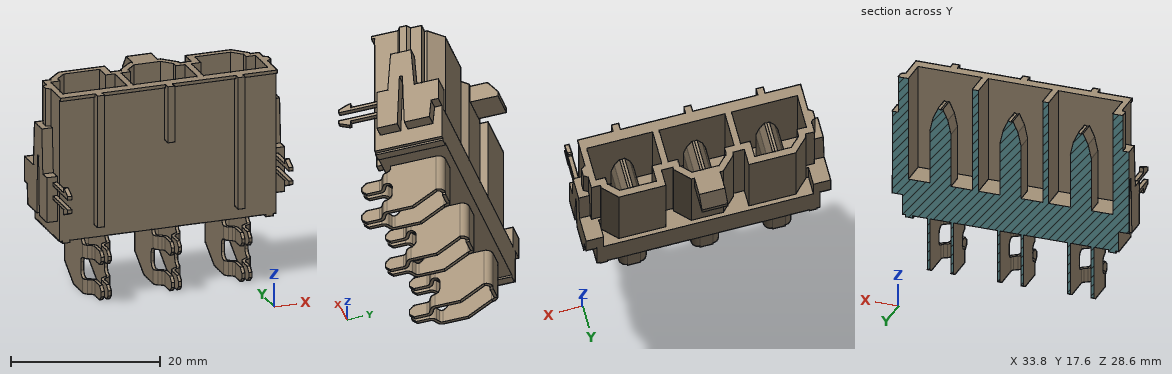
import cadquery as cq
import math


pitch = 10.0
row = (-pitch, 0.0, pitch)

housing_half_x = 15.42
housing_bottom = -20.63
shelf_top = -15.13
base_back = 9.45
shroud_back = 8.87
step_y = 6.6
bevel_start_y = 6.95
wall = 0.92
end_hump_outer = 14.16
end_hump_inner = 5.73
middle_hump_half = 4.14
lip_depth = 0.47
lip_height = 0.46

partition = 0.9
cell_half_x = (pitch - partition) / 2
cell_front = 1.0
cell_step_y = step_y - wall
cell_back = shroud_back - wall
cell_hump_half = middle_hump_half - wall

rib_width = 1.0
rib_front = -1.38
side_rib_length = 18.8
middle_rib_length = 8.0
foot_inner, foot_outer = 13.94, 15.0
foot_height = 0.32
latch_width = 3.55
latch_height = 2.83
latch_tip_y = 12.77
latch_bevel_y = 1.48
latch_bevel_z = 2.03
rail_depth = 0.6
rail_back, rail_front = 5.05, 3.3
rail_bevel = 0.38

mount_outer_x = 16.91
mount_inner_x = 14.5
mount_front = 0.8
mount_shoulder = -11.61
mount_bottom = -18.0
pillar_top = -5.33
pillar_back_bottom, pillar_back_top = 6.04, 5.6
pillar_front_bottom, pillar_front_top = 2.33, 2.73
heel_y_top, heel_y_bottom = 8.43, 8.2
slot_top = -9.66
slot_center_y = 4.17
slot_half_top, slot_half_bottom = 0.2, 0.5

prong_thickness = 0.6
prong_tip_y = -4.88
prong_barb_y = -3.19
prong_mid_z = -13.61
prong_gap_half = 0.71
prong_height = 0.5
barb_height = 0.67
barb_flat = 0.25

sheet = 0.45
terminal_half_x = 1.9
terminal_back = 8.46
back_bend_radius = 1.0
jog_start_y = 0.57
jog_angle = 60
jog_convex_radius = 0.88
jog_concave_radius = 0.51
jog_straight = 0.56
leg_tip_y = -3.42
leg_bevel = 0.67
upper_leg_top, upper_leg_bottom = -21.62, -23.55
lower_leg_top, terminal_bottom = -26.53, -28.6
neck_y = 1.04
neck_radius = 0.6
window_y = 1.27
window_radius = 0.9
back_edge_z = -26.53
slope_end_y = 4.12
tab_length = 0.36
terminal_root = -18.0

blade_front, blade_back = 2.26, 7.06
blade_half_x = 1.53
blade_ridge_x = 0.35
blade_shoulder_x = 1.08
blade_ridge_z = -3.75
blade_valley_z = -3.9
blade_shoulder_z = -5.3
blade_edge_z = -7.3


def box(x0, x1, y0, y1, z0, z1):
    """Axis-aligned box between two corners."""
    return cq.Workplane("XY").box(x1 - x0, y1 - y0, z1 - z0, centered=False).translate((x0, y0, z0))


def slab(points, x0, x1):
    """A Y-Z outline extruded along X from x0 to x1."""
    return cq.Workplane("YZ").workplane(offset=x0).polyline(points).close().extrude(x1 - x0)


def prism(points, z0, z1):
    """An X-Y outline extruded along Z from z0 to z1."""
    return cq.Workplane("XY").workplane(offset=z0).polyline(points).close().extrude(z1 - z0)


def mirror_x(points):
    """The mirror image of an X-Y outline, in reverse order."""
    return [(-x, y) for x, y in reversed(points)]


def shroud():
    bevel = shroud_back - bevel_start_y
    right_half = [
        (middle_hump_half - bevel, shroud_back),
        (middle_hump_half, bevel_start_y),
        (middle_hump_half, step_y),
        (end_hump_inner, step_y),
        (end_hump_inner, shroud_back),
        (end_hump_outer - bevel, shroud_back),
        (end_hump_outer, bevel_start_y),
        (end_hump_outer, step_y),
        (housing_half_x, step_y),
        (housing_half_x, 0),
    ]
    body = prism(right_half + mirror_x(right_half), housing_bottom, 0)
    base = box(-housing_half_x, housing_half_x, 0, base_back, housing_bottom, shelf_top)
    lip = box(-housing_half_x, housing_half_x, -lip_depth, cell_front, -lip_height, 0)
    return body.union(base).union(lip)


def cell(center_x):
    """Keyed cavity; the end cells have a square corner towards the middle."""
    bevel = cell_back - step_y
    beveled_side = [
        (cell_hump_half - bevel, cell_back),
        (cell_hump_half, step_y),
        (cell_hump_half, cell_step_y),
        (cell_half_x, cell_step_y),
        (cell_half_x, cell_front),
    ]
    square_side = [
        (cell_hump_half, cell_back),
        (cell_hump_half, cell_step_y),
        (cell_half_x, cell_step_y),
        (cell_half_x, cell_front),
    ]
    right = square_side if center_x < 0 else beveled_side
    left = square_side if center_x > 0 else beveled_side
    return prism(right + mirror_x(left), shelf_top, 0).translate((center_x, 0, 0))


def front_rib(center_x, length):
    half = rib_width / 2
    return box(center_x - half, center_x + half, rib_front, cell_front, -length, 0)


def latch():
    outline = [
        (cell_back, 0),
        (latch_tip_y - latch_bevel_y, 0),
        (latch_tip_y, -latch_bevel_z),
        (latch_tip_y, -latch_height),
        (cell_back, -latch_height),
    ]
    return slab(outline, -latch_width / 2, latch_width / 2)


def side_rail():
    """Bevelled rail from the rim down to where the pillar hides it, just above the slot."""
    outer = housing_half_x + rail_depth
    outline = [
        (housing_half_x, rail_front),
        (outer, rail_front + rail_bevel),
        (outer, rail_back - rail_bevel),
        (housing_half_x, rail_back),
    ]
    return prism(outline, slot_top, 0)


def mount():
    """Slotted side plate with a tall pillar, joined to the shroud at its rear corner."""
    outline = [
        (mount_front, mount_bottom),
        (mount_front, mount_shoulder),
        (pillar_front_bottom, mount_shoulder),
        (pillar_front_top, pillar_top),
        (pillar_back_top, pillar_top),
        (pillar_back_bottom, mount_shoulder),
        (base_back, mount_shoulder),
        (base_back, shelf_top),
        (heel_y_top, shelf_top),
        (heel_y_bottom, mount_bottom),
    ]
    slot = [
        (slot_center_y - slot_half_bottom, mount_bottom),
        (slot_center_y - slot_half_top, slot_top),
        (slot_center_y + slot_half_top, slot_top),
        (slot_center_y + slot_half_bottom, mount_bottom),
    ]
    plate = slab(outline, housing_half_x, mount_outer_x)
    corner = box(mount_inner_x, housing_half_x, bevel_start_y, base_back, shelf_top, mount_shoulder)
    filler = box(end_hump_outer, housing_half_x, step_y, bevel_start_y, shelf_top, mount_shoulder)
    return plate.cut(slab(slot, housing_half_x, mount_outer_x)).union(corner).union(filler)


def prong(side):
    """One barbed prong; side is +1 for the upper one and -1 for the lower one."""
    inner = prong_mid_z + side * prong_gap_half
    outer = inner + side * prong_height
    outline = [
        (mount_front, inner),
        (prong_tip_y, inner),
        (prong_tip_y, outer),
        (prong_barb_y - barb_flat, outer + side * barb_height),
        (prong_barb_y, outer + side * barb_height),
        (prong_barb_y, outer),
        (mount_front, outer),
    ]
    return slab(outline, housing_half_x, housing_half_x + prong_thickness)


def foot():
    return box(foot_inner, foot_outer, 0, base_back, housing_bottom - foot_height, housing_bottom)


def right_end():
    """Everything that repeats, mirrored, at both ends of the housing."""
    return side_rail().union(mount()).union(prong(1)).union(prong(-1)).union(foot())


def polar(center, radius, degrees):
    angle = math.radians(degrees)
    return (center[0] + radius * math.cos(angle), center[1] + radius * math.sin(angle))


def half_sheet():
    """Plan of the right half of the bent terminal sheet, extruded over its height."""
    back_center = (terminal_half_x - back_bend_radius, terminal_back - back_bend_radius)
    convex_center = (terminal_half_x - jog_convex_radius, jog_start_y)
    jog_end = polar(convex_center, jog_convex_radius, -jog_angle)
    straight_end = polar(jog_end, jog_straight, -jog_angle - 90)
    concave_center = polar(straight_end, jog_concave_radius, -jog_angle)

    back_inner = back_bend_radius - sheet
    convex_inner = jog_convex_radius - sheet
    concave_inner = jog_concave_radius + sheet
    leg_start = 180 - jog_angle
    leg_middle = 180 - jog_angle / 2
    leg_outer_x = concave_center[0] - jog_concave_radius
    leg_inner_x = leg_outer_x - sheet

    plan = (
        cq.Workplane("XY").workplane(offset=terminal_bottom)
        .moveTo(0, terminal_back)
        .lineTo(back_center[0], terminal_back)
        .threePointArc(polar(back_center, back_bend_radius, 45), polar(back_center, back_bend_radius, 0))
        .lineTo(terminal_half_x, jog_start_y)
        .threePointArc(polar(convex_center, jog_convex_radius, -jog_angle / 2), jog_end)
        .lineTo(*straight_end)
        .threePointArc(
            polar(concave_center, jog_concave_radius, leg_middle),
            polar(concave_center, jog_concave_radius, 180),
        )
        .lineTo(leg_outer_x, leg_tip_y)
        .lineTo(leg_inner_x, leg_tip_y)
        .lineTo(leg_inner_x, concave_center[1])
        .threePointArc(
            polar(concave_center, concave_inner, leg_middle),
            polar(concave_center, concave_inner, leg_start),
        )
        .lineTo(*polar(convex_center, convex_inner, -jog_angle))
        .threePointArc(
            polar(convex_center, convex_inner, -jog_angle / 2),
            polar(convex_center, convex_inner, 0),
        )
        .lineTo(terminal_half_x - sheet, back_center[1])
        .threePointArc(polar(back_center, back_inner, 45), polar(back_center, back_inner, 90))
        .lineTo(0, terminal_back - sheet)
        .close()
    )
    return plan.extrude(terminal_root - terminal_bottom)


def leg_end(sketch, top, bottom):
    """Continue a Y-Z outline from the top edge of a leg round its tip to its bottom edge."""
    return (
        sketch.lineTo(leg_tip_y + leg_bevel, top)
        .lineTo(leg_tip_y, top - leg_bevel)
        .lineTo(leg_tip_y, bottom + leg_bevel)
        .lineTo(leg_tip_y + leg_bevel, bottom)
    )


def terminal_side():
    """Side silhouette of the terminal sheet, through its full width."""
    neck_center = (neck_y - neck_radius, upper_leg_top + neck_radius)
    window_start = window_y - window_radius
    window_top = (window_start, upper_leg_bottom - window_radius)
    window_bottom = (window_start, lower_leg_top + window_radius)

    sketch = (
        cq.Workplane("YZ").workplane(offset=-terminal_half_x)
        .moveTo(terminal_back, terminal_root)
        .lineTo(neck_y, terminal_root)
        .lineTo(neck_y, neck_center[1])
        .threePointArc(polar(neck_center, neck_radius, -45), polar(neck_center, neck_radius, -90))
    )
    sketch = (
        leg_end(sketch, upper_leg_top, upper_leg_bottom)
        .lineTo(window_start, upper_leg_bottom)
        .threePointArc(polar(window_top, window_radius, 45), polar(window_top, window_radius, 0))
        .lineTo(window_y, window_bottom[1])
        .threePointArc(polar(window_bottom, window_radius, -45), (window_start, lower_leg_top))
    )
    sketch = (
        leg_end(sketch, lower_leg_top, terminal_bottom)
        .lineTo(slope_end_y, terminal_bottom)
        .lineTo(terminal_back - back_bend_radius, back_edge_z)
        .lineTo(terminal_back, back_edge_z)
        .close()
    )
    return sketch.extrude(2 * terminal_half_x)


def blade():
    """Contact blade with a double-ridged, tapered tip."""
    right_half = [
        (0, blade_valley_z),
        (blade_ridge_x, blade_ridge_z),
        (blade_shoulder_x, blade_shoulder_z),
        (blade_half_x, blade_edge_z),
        (blade_half_x, terminal_root),
    ]
    outline = right_half + mirror_x(right_half[1:])
    section = cq.Workplane("XZ").workplane(offset=-blade_back).polyline(outline).close()
    return section.extrude(blade_back - blade_front)


def terminal():
    right = half_sheet()
    sheet_metal = right.union(right.mirror("YZ")).intersect(terminal_side())
    tab_half = terminal_half_x - back_bend_radius
    tab = box(
        -tab_half, tab_half,
        terminal_back - sheet, terminal_back,
        back_edge_z - tab_length, terminal_root,
    )
    return sheet_metal.union(tab).union(blade())


def header():
    part = shroud()
    part = part.union(latch())
    for x in row:
        part = part.union(front_rib(x, side_rib_length if x else middle_rib_length))
    end = right_end()
    part = part.union(end).union(end.mirror("YZ"))
    for x in row:
        part = part.cut(cell(x))
    contact = terminal()
    for x in row:
        part = part.union(contact.translate((x, 0, 0)))
    return part


result = header()